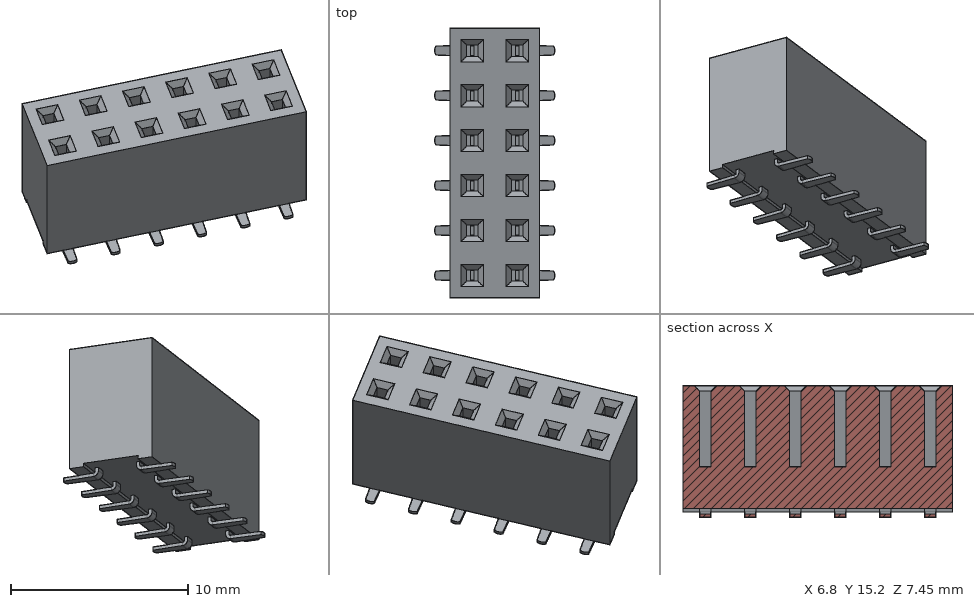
import cadquery as cq

ROW_COUNT = 6
LENGTH = 15.24
PITCH = LENGTH / ROW_COUNT
WIDTH = 2 * PITCH
TOTAL_HEIGHT = 7.45
RAIL_BOTTOM = 0.3
RAIL_HEIGHT = 0.2
RAIL_GAP = 3.35
RECESS_TOP = RAIL_BOTTOM + RAIL_HEIGHT

MOUTH_SIZE = 1.26
HOLE_SIZE = 0.64
MOUTH_DEPTH = (MOUTH_SIZE - HOLE_SIZE) / 2
HOLE_DEPTH = 4.57
HOLE_FLOOR = TOTAL_HEIGHT - HOLE_DEPTH
GROOVE_WIDTH = 0.2
GROOVE_BOTTOM_LENGTH = 0.53
GROOVE_DEPTH = (HOLE_SIZE - GROOVE_BOTTOM_LENGTH) / 2

SPAN = 6.8
STRIP_THICKNESS = 0.2
STRIP_WIDTH = 0.64
BEND_RADIUS = 0.3
INNER_BEND_RADIUS = BEND_RADIUS - STRIP_THICKNESS
TIP_WIDTH = 0.52
TIP_BULGE = 0.08

LEG_CENTER = PITCH / 2
LEG_INNER = LEG_CENTER - STRIP_THICKNESS / 2
LEG_OUTER = LEG_CENTER + STRIP_THICKNESS / 2
BEND_END = LEG_INNER + BEND_RADIUS
TIP_END = SPAN / 2
TIP_CORNER = TIP_END - TIP_BULGE


def make_housing():
    block = cq.Workplane("XY").box(
        WIDTH, LENGTH, TOTAL_HEIGHT - RAIL_BOTTOM, centered=(True, True, False)
    )
    recess = cq.Workplane("XY").box(RAIL_GAP, LENGTH, RAIL_HEIGHT, centered=(True, True, False))
    return block.cut(recess).translate((0, 0, RAIL_BOTTOM))


def make_socket():
    """Solid that cuts one flared square hole, centred on the Z axis."""
    hole = (
        cq.Workplane("XY", origin=(0, 0, HOLE_FLOOR))
        .rect(HOLE_SIZE, HOLE_SIZE)
        .extrude(HOLE_DEPTH)
    )
    mouth = (
        cq.Workplane("XY", origin=(0, 0, TOTAL_HEIGHT - MOUTH_DEPTH))
        .rect(HOLE_SIZE, HOLE_SIZE)
        .workplane(offset=MOUTH_DEPTH)
        .rect(MOUTH_SIZE, MOUTH_SIZE)
        .loft(combine=True)
    )
    groove = (
        cq.Workplane("XY", origin=(0, 0, HOLE_FLOOR - GROOVE_DEPTH))
        .rect(GROOVE_WIDTH, GROOVE_BOTTOM_LENGTH)
        .workplane(offset=GROOVE_DEPTH)
        .rect(GROOVE_WIDTH, HOLE_SIZE)
        .loft(combine=True)
    )
    return hole.union(mouth).union(groove)


def make_contact():
    """Bent strip of the +X column, centred on Y = 0."""
    side_profile = (
        cq.Workplane("XZ")
        .moveTo(LEG_INNER, RECESS_TOP)
        .lineTo(LEG_INNER, BEND_RADIUS)
        .radiusArc((BEND_END, 0), -BEND_RADIUS)
        .lineTo(TIP_END, 0)
        .lineTo(TIP_END, STRIP_THICKNESS)
        .lineTo(BEND_END, STRIP_THICKNESS)
        .radiusArc((LEG_OUTER, BEND_RADIUS), INNER_BEND_RADIUS)
        .lineTo(LEG_OUTER, RECESS_TOP)
        .close()
        .extrude(STRIP_WIDTH / 2, both=True)
    )
    plan_outline = (
        cq.Workplane("XY")
        .moveTo(LEG_INNER, -STRIP_WIDTH / 2)
        .lineTo(BEND_END, -STRIP_WIDTH / 2)
        .lineTo(TIP_CORNER, -TIP_WIDTH / 2)
        .threePointArc((TIP_END, 0), (TIP_CORNER, TIP_WIDTH / 2))
        .lineTo(BEND_END, STRIP_WIDTH / 2)
        .lineTo(LEG_INNER, STRIP_WIDTH / 2)
        .close()
        .extrude(RECESS_TOP)
    )
    return side_profile.intersect(plan_outline)


result = make_housing()
socket = make_socket()
right_contact = make_contact()
left_contact = right_contact.mirror("YZ")

for row in range(ROW_COUNT):
    y = (row - (ROW_COUNT - 1) / 2) * PITCH
    for x, contact in ((-LEG_CENTER, left_contact), (LEG_CENTER, right_contact)):
        result = result.cut(socket.translate((x, y, 0)))
        result = result.union(contact.translate((0, y, 0)))